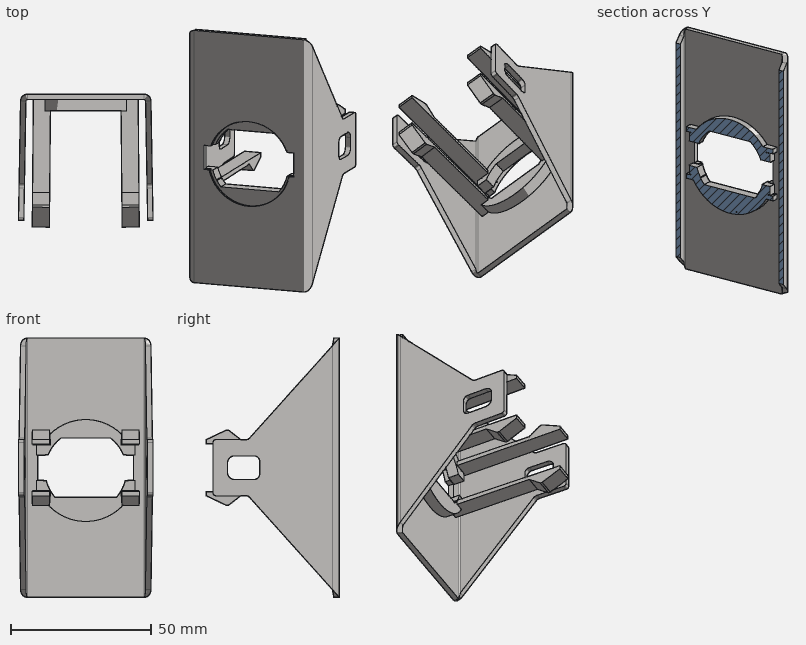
import cadquery as cq
import math


overall_width = 48.0
overall_depth = 47.41
overall_height = 92.37
half_height = overall_height / 2

sheet = 2.0
bend_outer = 2.5
bend_inner = bend_outer - sheet
splay = math.radians(1.0)
flap_depth = 45.0
neck_depth = 32.5
tongue_half_height = 10.0
neck_radius = 2.0
tongue_radius = 1.1
bend_steps = 8

bend_y = -bend_outer
flap_length = (flap_depth - bend_outer + bend_outer * math.sin(splay)) / math.cos(splay)
bend_x = overall_width / 2 - bend_outer * math.cos(splay) - flap_length * math.sin(splay)
flap_slope = (half_height - tongue_half_height) / neck_depth
bend_half_height = half_height - flap_slope * bend_outer

slot_near = 28.4
slot_far = 39.8
slot_half_height = 4.15
slot_near_radius = 1.9
slot_far_radius = 2.4

window_half_width = 17.0
side_gap_half_height = 4.4
ring_center_z = -1.0
ring_outer_radius = 18.15
ring_inner_radius = 14.5
ring_flat_z = 10.5
plate_hole_radius = 15.5
lower_ring_back = sheet / 2
ring_front = 6.0
pad_half_width = 17.6
pad_inner_z = 4.6

arm_inner_x = 12.5
arm_width = 6.2
arm_top_z = 10.0
arm_root_z = 8.07
arm_tip_z = 8.5
arm_splay_degrees = 0.5
hook_start = 35.1
hook_crest_start = 39.5
hook_crest_end = 40.3
hook_crest_z = 13.4


def box(x_range, depth_range, z_range):
    """Box given by its x range, its depth range and its z range."""
    (x0, x1), (d0, d1), (z0, z1) = x_range, depth_range, z_range
    return cq.Workplane("XY").box(x1 - x0, d1 - d0, z1 - z0, centered=False).translate((x0, -d1, z0))


def cylinder(radius, depth):
    """Cylinder on the ring axis, from the back face to the given depth."""
    return cq.Workplane("XZ").center(0, ring_center_z).circle(radius).extrude(depth)


def mirror_x(body):
    """The body together with its mirror image across the middle plane x = 0."""
    return body.union(body.mirror("YZ"))


def flap_profile():
    """Side outline of a flap, from the bend line through a slope to a square tongue."""
    profile = (
        cq.Workplane("YZ")
        .polyline([
            (bend_y, -bend_half_height),
            (bend_y, bend_half_height),
            (-neck_depth, tongue_half_height),
            (bend_y - flap_length, tongue_half_height),
            (bend_y - flap_length, -tongue_half_height),
            (-neck_depth, -tongue_half_height),
        ])
        .close()
        .extrude(sheet)
    )
    neck = cq.selectors.BoxSelector(
        (-sheet, -neck_depth - sheet, -half_height), (2 * sheet, -neck_depth + sheet, half_height)
    )
    profile = profile.edges("|X").edges(neck).fillet(neck_radius)
    return profile.faces("<Y").edges("|X").fillet(tongue_radius)


def flap_slot():
    slot = box((0, sheet), (slot_near, slot_far), (-slot_half_height, slot_half_height))
    slot = slot.faces(">Y").edges("|X").fillet(slot_near_radius)
    return slot.faces("<Y").edges("|X").fillet(slot_far_radius)


def flap():
    """Right-hand flap, made upright and then leaned outwards about the bend axis."""
    upright = flap_profile().cut(flap_slot()).translate((bend_x + bend_inner, 0, 0))
    return upright.rotate((bend_x, bend_y, 0), (bend_x, bend_y, 1), math.degrees(splay))


def bend_end_curve(radius, side):
    """Upper (side = 1) or lower (side = -1) end of the bend at one radius.

    The end drops from the plate edge to the flap edge and is level along each radial line.
    """
    points = []
    for step in range(bend_steps + 1):
        angle = math.pi / 2 + (splay - math.pi / 2) * step / bend_steps
        drop = (half_height - bend_half_height) * (1 - math.sin(angle)) / (1 - math.sin(splay))
        x = bend_x + radius * math.cos(angle)
        y = bend_y + radius * math.sin(angle)
        points.append(cq.Vector(x, y, side * (half_height - drop)))
    return cq.Edge.makeSpline(points)


def bend():
    """Right-hand bend between plate and flap, closed by six ruled faces."""
    ruled = cq.Face.makeRuledSurface
    upper_outer = bend_end_curve(bend_outer, 1)
    upper_inner = bend_end_curve(bend_inner, 1)
    lower_outer = bend_end_curve(bend_outer, -1)
    lower_inner = bend_end_curve(bend_inner, -1)

    def end_face(position):
        outer = cq.Edge.makeLine(upper_outer.positionAt(position), lower_outer.positionAt(position))
        inner = cq.Edge.makeLine(upper_inner.positionAt(position), lower_inner.positionAt(position))
        return ruled(outer, inner)

    faces = [
        ruled(upper_outer, upper_inner),
        ruled(lower_outer, lower_inner),
        ruled(upper_outer, lower_outer),
        ruled(upper_inner, lower_inner),
        end_face(0),
        end_face(1),
    ]
    solid = cq.Solid.makeSolid(cq.Shell.makeShell(faces))
    return cq.Workplane(solid.fix())


def bent_sheet():
    plate = box((-bend_x, bend_x), (0, sheet), (-half_height, half_height))
    return plate.union(mirror_x(bend().union(flap())))


def cut_window(body):
    """Window in the back plate: a round hole, slightly wider than the ring's, and a gap across it."""
    gap = box(
        (-window_half_width, window_half_width), (0, sheet), (-side_gap_half_height, side_gap_half_height)
    )
    return body.cut(cylinder(plate_hole_radius, sheet)).cut(gap)


def ring_part(side, back):
    """Upper (side = 1) or lower (side = -1) part of the ring, squared off by a pad at each arm."""
    depth_range = (back, ring_front)
    across = (-pad_half_width, pad_half_width)
    tall = sorted((side * pad_inner_z, side * half_height))
    pad_z = sorted((side * pad_inner_z, side * arm_root_z))
    opening_z = sorted((0, side * ring_flat_z))
    body = cylinder(ring_outer_radius, ring_front).intersect(box(across, depth_range, tall))
    body = body.union(box(across, depth_range, pad_z))
    opening = cylinder(ring_inner_radius, ring_front).intersect(box(across, depth_range, opening_z))
    return body.cut(opening)


def latch_arms():
    """Four arms with outward hooks, splayed slightly away from the middle."""
    arm = (
        cq.Workplane("YZ")
        .polyline([
            (-sheet, arm_root_z),
            (-sheet, arm_top_z),
            (-hook_start, arm_top_z),
            (-hook_crest_start, hook_crest_z),
            (-hook_crest_end, hook_crest_z),
            (-overall_depth, arm_top_z),
            (-overall_depth, arm_tip_z),
        ])
        .close()
        .extrude(arm_width)
        .translate((arm_inner_x, 0, 0))
    )
    pivot = (arm_inner_x, -sheet, 0)
    arm = arm.rotate(pivot, (arm_inner_x, -sheet, 1), arm_splay_degrees)
    root = box(
        (arm_inner_x, arm_inner_x + arm_width), (sheet / 2, 3 * sheet / 2), (arm_root_z, arm_top_z)
    )
    arm = arm.union(root)
    upper_pair = mirror_x(arm)
    return upper_pair.union(upper_pair.mirror("XY"))


result = cut_window(bent_sheet())
result = result.union(ring_part(1, sheet)).union(ring_part(-1, lower_ring_back))
result = result.union(latch_arms())